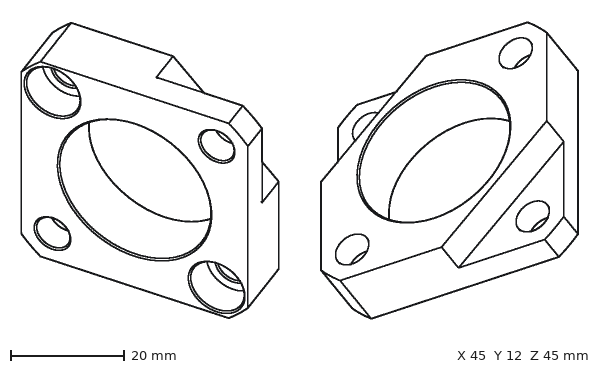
import cadquery as cq

width = 45
thickness = 12.0
flange_thickness = 5.5
corner_diameter = 58.5

bore_diameter = 30.0
hole_diameter = 6.6
counterbore_diameter = 10.6
counterbore_depth = 6.5
hole_offset = 16.3
edge_chamfer = 0.3

cut_start = 1.55

half_width = width / 2
front_y = -thickness / 2
back_y = thickness / 2
step_y = front_y + flange_thickness


def cylinder(x, z, diameter, start_y, end_y):
    """Cylinder along Y between two positions."""
    axis_start = cq.Vector(x, start_y, z)
    return cq.Workplane(
        cq.Solid.makeCylinder(diameter / 2, end_y - start_y, axis_start, cq.Vector(0, 1, 0))
    )


def mouth_chamfer(x, z, diameter, face_y, inward=1):
    """45 degree cone opening a hole at face_y; inward is the Y direction into the part."""
    cone = cq.Solid.makeCone(
        diameter / 2 + edge_chamfer,
        diameter / 2,
        edge_chamfer,
        cq.Vector(x, face_y, z),
        cq.Vector(0, inward, 0),
    )
    return cq.Workplane(cone)


def chamfered_hole(x, z, diameter, face_y):
    """Cutter for a hole running from face_y through the back."""
    return cylinder(x, z, diameter, face_y, back_y).union(mouth_chamfer(x, z, diameter, face_y))


def counterbore(x, z):
    """Cutter for a screw head recess in the front face."""
    recess = cylinder(x, z, counterbore_diameter, front_y, front_y + counterbore_depth)
    return recess.union(mouth_chamfer(x, z, counterbore_diameter, front_y))


def rear_corner_cut(side):
    """Triangular prism removing one rear corner: side +1 is (+X, +Z), -1 is (-X, -Z)."""
    near = side * cut_start
    far = side * half_width
    return (
        cq.Workplane("XZ", origin=(0, step_y, 0))
        .polyline([(near, far), (far, far), (far, near)])
        .close()
        .extrude(-(thickness - flange_thickness))
    )


result = cq.Workplane("XY").box(width, thickness, width)
result = result.intersect(cylinder(0, 0, corner_diameter, front_y, back_y))

for side in (1, -1):
    result = result.cut(rear_corner_cut(side))

result = result.cut(chamfered_hole(0, 0, bore_diameter, front_y))
result = result.cut(mouth_chamfer(0, 0, bore_diameter, back_y, inward=-1))

for side in (1, -1):
    result = result.cut(chamfered_hole(side * hole_offset, side * hole_offset, hole_diameter, front_y))

for side in (1, -1):
    x = side * hole_offset
    z = -side * hole_offset
    result = result.cut(counterbore(x, z))
    result = result.cut(chamfered_hole(x, z, hole_diameter, front_y + counterbore_depth))